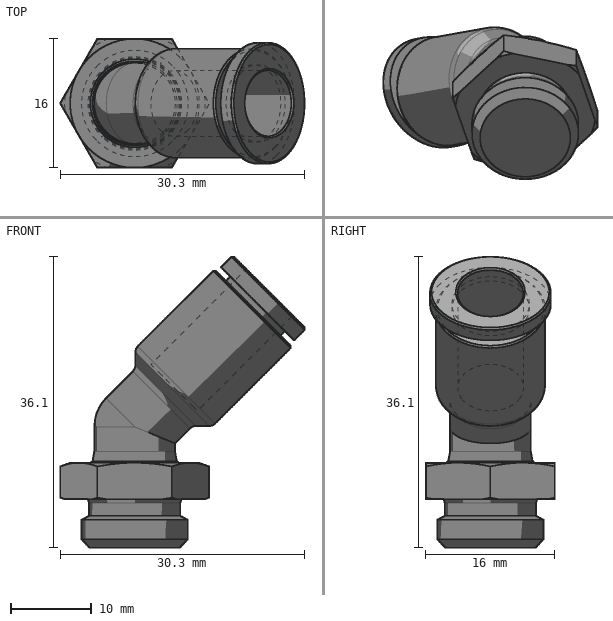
import cadquery as cq
import math

lead_in_height = 1.1
thread_top = 3.45
neck_bottom = 3.97
neck_top = 5.55
hex_bottom = 6.03
hex_top = 10.55
stem_bevel_top = 10.75
stem_taper_top = 12.0
elbow_height = 15.0

lead_in_radius = 5.6
thread_radius = 6.6
neck_radius = 5.65
neck_flare_radius = 5.8

hex_across_flats = 16.0
hex_across_corners = hex_across_flats / math.cos(math.pi / 6)
hex_corner_radius = hex_across_corners / 2
hex_top_face_radius = hex_across_flats / 2
hex_bottom_face_radius = 8.7
corner_break_slope = math.tan(math.radians(20))

stem_radius = 5.0
stem_taper_radius = 5.25
stem_foot_radius = 5.5
bend_angle = 45

sleeve_cone_start = 5.13
sleeve_end = 20.8
collar_bottom = 21.55
collar_top = 23.6

sleeve_radius = 6.8
sleeve_blend_radius = 1.0
release_neck_radius = 4.8
collar_half_width = 7.5
collar_half_height = 6.43
bore_radius = 4.08
edge_chamfer = 0.2

sleeve_cone_end = sleeve_cone_start + sleeve_radius - stem_radius


def revolve_profile(points):
    """Turn a closed (radius, height) outline about the Z axis."""
    return cq.Workplane("XZ").polyline(points).close().revolve(360, (0, 0), (0, 1))


def make_spigot_and_stem():
    """Turned body from the threaded end up to the elbow centre."""
    return revolve_profile([
        (0, 0),
        (lead_in_radius, 0),
        (thread_radius, lead_in_height),
        (thread_radius, thread_top),
        (neck_radius, neck_bottom),
        (neck_radius, neck_top),
        (neck_flare_radius, hex_bottom),
        (neck_flare_radius, hex_top),
        (stem_foot_radius, hex_top),
        (stem_taper_radius, stem_bevel_top),
        (stem_radius, stem_taper_top),
        (stem_radius, elbow_height),
        (0, elbow_height),
    ])


def make_hexagon():
    """Hexagon with corners on the X axis, trimmed by a double cone."""
    top_drop = (hex_corner_radius - hex_top_face_radius) * corner_break_slope
    bottom_rise = (hex_corner_radius - hex_bottom_face_radius) * corner_break_slope
    prism = (
        cq.Workplane("XY", origin=(0, 0, hex_bottom))
        .polygon(6, hex_across_corners)
        .extrude(hex_top - hex_bottom)
    )
    corner_limit = revolve_profile([
        (0, hex_bottom),
        (hex_bottom_face_radius, hex_bottom),
        (hex_corner_radius, hex_bottom + bottom_rise),
        (hex_corner_radius, hex_top - top_drop),
        (hex_top_face_radius, hex_top),
        (0, hex_top),
    ])
    return prism.intersect(corner_limit)


def make_sleeve():
    """Inclined stem, cone and sleeve, built upright from the elbow centre."""
    sleeve = revolve_profile([
        (0, 0),
        (stem_radius, 0),
        (stem_radius, sleeve_cone_start),
        (sleeve_radius, sleeve_cone_end),
        (sleeve_radius, sleeve_end),
        (0, sleeve_end),
    ])
    sleeve = sleeve.faces(">Z").edges().chamfer(edge_chamfer)
    for corner_distance in (sleeve_cone_start, sleeve_cone_end):
        corner_circle = cq.selectors.NearestToPointSelector((0, 0, corner_distance))
        sleeve = sleeve.edges(corner_circle).fillet(sleeve_blend_radius)
    return sleeve


def make_release_collar():
    """Round neck carrying the oval collar, wider across Y than across X."""
    neck = (
        cq.Workplane("XY", origin=(0, 0, sleeve_end))
        .circle(release_neck_radius)
        .extrude(collar_bottom - sleeve_end)
    )
    collar = (
        cq.Workplane("XY", origin=(0, 0, collar_bottom))
        .ellipse(collar_half_height, collar_half_width)
        .extrude(collar_top - collar_bottom)
        .faces(">Z").edges().chamfer(edge_chamfer)
    )
    return neck.union(collar)


def make_bore():
    """Tube socket from the collar face down to the wide end of the cone."""
    return revolve_profile([
        (0, sleeve_cone_end),
        (bore_radius, sleeve_cone_end),
        (bore_radius, collar_top - edge_chamfer),
        (bore_radius + edge_chamfer, collar_top),
        (0, collar_top),
    ])


def incline(upright):
    """Tilt an upright piece toward +X and seat it on the elbow centre."""
    return upright.rotate((0, 0, 0), (0, 1, 0), bend_angle).translate((0, 0, elbow_height))


elbow_ball = cq.Workplane("XY", origin=(0, 0, elbow_height)).sphere(stem_radius)
branch = make_sleeve().union(make_release_collar()).cut(make_bore())
result = make_spigot_and_stem().union(make_hexagon()).union(elbow_ball).union(incline(branch))